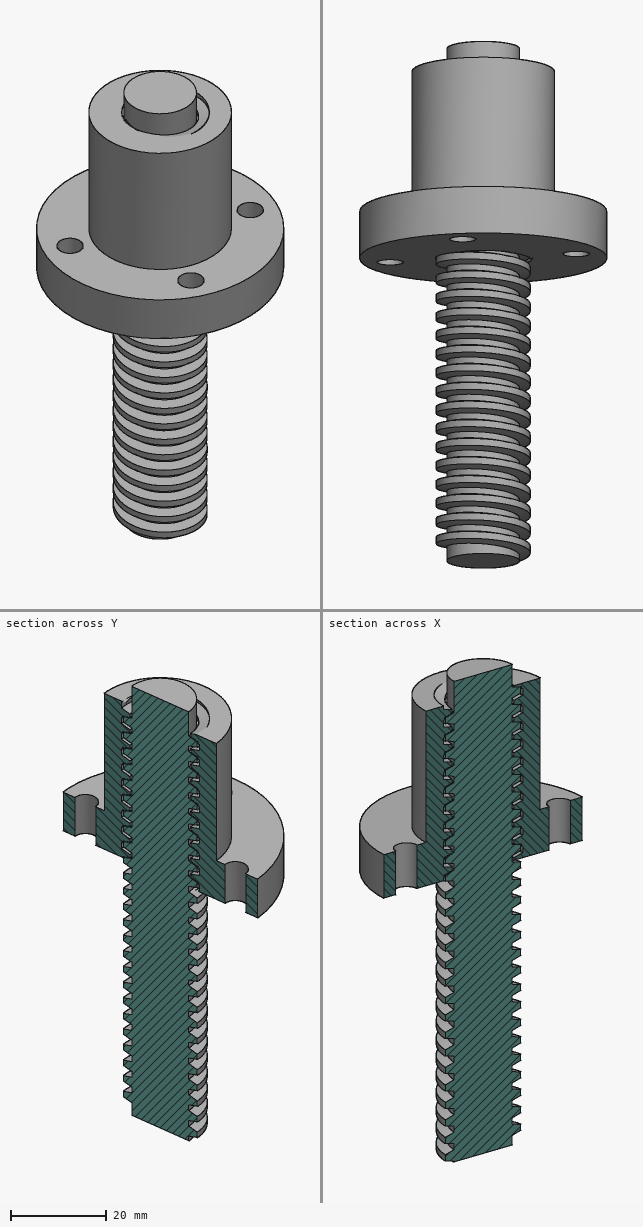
import cadquery as cq
import math

SCREW_LENGTH = 110.0
CORE_DIAMETER = 15.3
THREAD_DIAMETER = 19.8
PITCHES_PER_LENGTH = 27.5
PITCH = SCREW_LENGTH / PITCHES_PER_LENGTH
CREST_WIDTH = 0.366 * PITCH
FLANK_ANGLE = 15.0
THREAD_START_Z = 1.5
THREAD_START_ANGLE = 90.0
THREAD_TURNS = 25.5
EMBED = 0.3

NUT_BOTTOM_Z = 65.0
FLANGE_DIAMETER = 52.0
FLANGE_THICKNESS = 10.0
BARREL_DIAMETER = 30.0
BARREL_LENGTH = 30.0
BORE_DIAMETER = 16.2
GROOVE_DIAMETER = 20.7
BOLT_HOLE_DIAMETER = 5.5
BOLT_CIRCLE_DIAMETER = 40.0
BOLT_COUNT = 4
RELIEF_CLEARANCE = 0.1
RUNOUT_TURNS = 1
NUT_HEIGHT = FLANGE_THICKNESS + BARREL_LENGTH


def helical_ridge(root_radius, crest_radius, start_z, turns):
    """Left-hand trapezoidal ridge that starts on the +Y side and climbs along Z."""
    crest_half = CREST_WIDTH / 2
    root_half = crest_half + (crest_radius - root_radius) * math.tan(math.radians(FLANK_ANGLE))
    height = turns * PITCH
    path = cq.Wire.makeHelix(PITCH, height, root_radius, lefthand=True)
    ridge = (
        cq.Workplane("XZ")
        .polyline([
            (root_radius, -root_half),
            (crest_radius, -crest_half),
            (crest_radius, crest_half),
            (root_radius, root_half),
        ])
        .close()
        .sweep(cq.Workplane(path), isFrenet=True)
    )
    return ridge.rotate((0, 0, 0), (0, 0, 1), THREAD_START_ANGLE).translate((0, 0, start_z))


def make_screw():
    core = cq.Workplane("XY").circle(CORE_DIAMETER / 2).extrude(SCREW_LENGTH)
    thread = helical_ridge(
        CORE_DIAMETER / 2 - EMBED, THREAD_DIAMETER / 2, THREAD_START_Z, THREAD_TURNS
    )
    return core.union(thread)


def make_nut():
    flange = cq.Workplane("XY").circle(FLANGE_DIAMETER / 2).extrude(FLANGE_THICKNESS)
    barrel = cq.Workplane("XY").circle(BARREL_DIAMETER / 2).extrude(NUT_HEIGHT)
    bolt_holes = (
        cq.Workplane("XY")
        .polarArray(BOLT_CIRCLE_DIAMETER / 2, 0, 360, BOLT_COUNT)
        .circle(BOLT_HOLE_DIAMETER / 2)
        .extrude(FLANGE_THICKNESS)
    )
    blank = flange.union(barrel).cut(bolt_holes).translate((0, 0, NUT_BOTTOM_Z))

    cutter_start_z = NUT_BOTTOM_Z - RUNOUT_TURNS * PITCH
    cutter_length = NUT_HEIGHT + 2 * RUNOUT_TURNS * PITCH
    bore = (
        cq.Workplane("XY", origin=(0, 0, cutter_start_z))
        .circle(BORE_DIAMETER / 2)
        .extrude(cutter_length)
    )
    groove = helical_ridge(
        BORE_DIAMETER / 2 - EMBED,
        GROOVE_DIAMETER / 2,
        cutter_start_z,
        cutter_length / PITCH,
    )
    threaded = blank.cut(bore.union(groove))

    turns_below = math.floor((NUT_BOTTOM_Z - THREAD_START_Z) / PITCH) - RUNOUT_TURNS
    relief = helical_ridge(
        CORE_DIAMETER / 2 - EMBED + RELIEF_CLEARANCE,
        THREAD_DIAMETER / 2 + RELIEF_CLEARANCE,
        THREAD_START_Z + turns_below * PITCH,
        THREAD_TURNS - turns_below,
    )
    return threaded.cut(relief, clean=False)


screw = make_screw()
nut = make_nut()

result = cq.Compound.makeCompound([screw.val(), nut.val()])